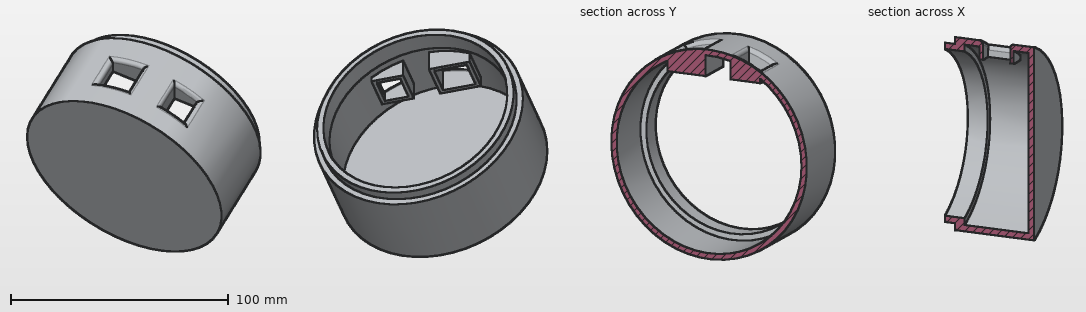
import cadquery as cq

body_diameter = 100
wall_thickness = 3
floor_thickness = 3
total_depth = 45
lip_length = 5
shoulder_y = total_depth - lip_length

cavity_diameter = body_diameter - 2 * wall_thickness
lip_diameter = cavity_diameter
lip_bore_diameter = lip_diameter - 2 * wall_thickness
lip_root_length = 5

window_front = 12.2
rim_radius = 2
sleeve_wall = 2
sleeve_depth = 10
sleeve_bottom = cavity_diameter / 2 - sleeve_depth
left_window = {"inner_x": 3.7, "width": 15.5, "length": 14.5}
right_window = {"inner_x": 12.9, "width": 11.2, "length": 13.5}


def cylinder_along_y(diameter, start, end):
    """Solid cylinder on the Y axis between two Y positions."""
    plane = cq.Workplane("XZ", origin=(0, start, 0))
    return plane.circle(diameter / 2).extrude(start - end)


def window_prism(inner_x, width, length, margin=0):
    """Upright prism over a window on the -X side, from its sleeve bottom up, widened by a margin."""
    corner = (-inner_x - width - margin, window_front - margin, sleeve_bottom)
    base = cq.Workplane("XY", origin=corner)
    return base.rect(width + 2 * margin, length + 2 * margin, centered=False).extrude(body_diameter / 2)


def rim_edges(inner_x, width, length):
    """Selector for the edges where a window on the -X side meets the outer wall."""
    gap = 0.1
    low = (-inner_x - width - gap, window_front - gap, sleeve_bottom + gap)
    high = (-inner_x + gap, window_front + length + gap, body_diameter)
    return cq.selectors.BoxSelector(low, high, boundingbox=True)


def cut_window(solid, window):
    """Cut a window on the -X side of the solid and round its rim."""
    opened = solid.cut(window_prism(**window))
    return opened.edges(rim_edges(**window)).fillet(rim_radius)


body = cylinder_along_y(body_diameter, 0, shoulder_y)
body = cut_window(body, right_window).mirror("YZ")
body = cut_window(body, left_window)
lip = cylinder_along_y(lip_diameter, shoulder_y, total_depth)

cavity = cylinder_along_y(cavity_diameter, floor_thickness, shoulder_y - lip_root_length)
cavity = cavity.union(cylinder_along_y(lip_bore_diameter, floor_thickness, total_depth))
cavity = cavity.cut(window_prism(**left_window, margin=sleeve_wall))
cavity = cavity.cut(window_prism(**right_window, margin=sleeve_wall).mirror("YZ"))

result = body.union(lip).cut(cavity)